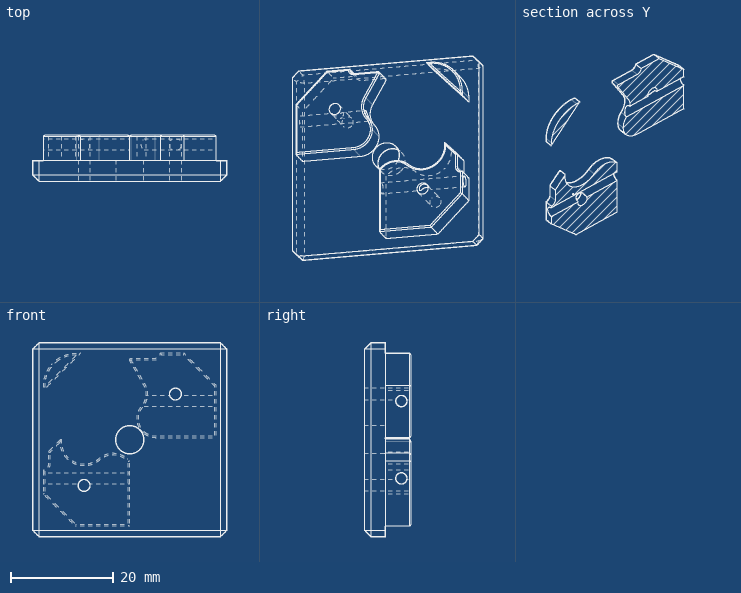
import cadquery as cq
import math

plate_side = 38.1
plate_thickness = 4.1
plate_chamfer = 1.3
total_depth = 9.15

center_hole_diameter = 5.5
screw_hole_diameter = 2.3
screw_offset = 8.95
cross_hole_diameter = 2.17
cross_hole_offset = 7.6
cross_hole_below_top = 1.9

pad_height = total_depth - plate_thickness
bevel = 0.3
bevel_angle = 45.0

pad_reach = 16.95
corner_cut_start = 10.63
seat_radius = 1.0
seat_start = 5.0
seat_end = seat_start + seat_radius
seat_level = pad_reach - seat_radius

block_inner = 9.65
block_radius = 6.48

ramp_start = 2.35
lower_hollow_radius = 4.42
lower_hollow_x = -screw_offset
lower_hollow_z = -0.4
lower_tip_x = lower_hollow_x - lower_hollow_radius
lower_tip_z = seat_level + lower_tip_x - ramp_start
lower_lobe_radius = 4.1
lower_lobe_x = -3.28
lower_side = -0.08

nose_radius = 0.3
undercut_angle = 30.0
nose_left = -0.08
nose_x = nose_left + nose_radius
nose_z = seat_level - nose_radius
upper_hollow_radius = 3.65
upper_hollow_z = screw_offset
upper_lobe_radius = 3.65
upper_lobe_z = 4.15
upper_corner_radius = 3.77
upper_bottom = upper_lobe_z - upper_corner_radius


def polar(center, radius, degrees):
    """Point on a circle, angle measured from +X toward +Z."""
    angle = math.radians(degrees)
    return (center[0] + radius * math.cos(angle), center[1] + radius * math.sin(angle))


def raise_pad(outline):
    """Extrude a closed XZ outline from the plate back and bevel its rim."""
    lower = outline.extrude(bevel - pad_height)
    rim = lower.faces(">Y").wires().toPending().workplane()
    return lower.union(rim.extrude(bevel, taper=bevel_angle, combine=False))


def back_plane():
    return cq.Workplane("XZ", origin=(0, plate_thickness, 0))


def make_plate():
    plate = cq.Workplane("XY").box(plate_side, plate_thickness, plate_side, centered=(True, False, True))
    return plate.edges("|Y or <Y").chamfer(plate_chamfer)


def make_corner_block():
    arc_center = (block_radius - pad_reach, pad_reach - block_radius)
    outline = (
        back_plane()
        .moveTo(-pad_reach, block_inner)
        .lineTo(-pad_reach, arc_center[1])
        .threePointArc(polar(arc_center, block_radius, 135), (arc_center[0], pad_reach))
        .lineTo(-block_inner, pad_reach)
        .close()
    )
    return raise_pad(outline)


def make_lower_pad():
    hollow = (lower_hollow_x, lower_hollow_z)
    reach = lower_hollow_radius + lower_lobe_radius
    join_angle = -math.degrees(math.acos((lower_lobe_x - lower_hollow_x) / reach))
    lobe = polar(hollow, reach, join_angle)
    end_angle = math.degrees(math.acos((lower_side - lobe[0]) / lower_lobe_radius))
    outline = (
        back_plane()
        .moveTo(-corner_cut_start, -pad_reach)
        .lineTo(-pad_reach, -corner_cut_start)
        .lineTo(-pad_reach, -seat_end)
        .threePointArc(polar((-pad_reach, -seat_start), seat_radius, -45), (-seat_level, -seat_start))
        .lineTo(-seat_level, -ramp_start)
        .lineTo(lower_tip_x, lower_tip_z)
        .lineTo(lower_tip_x, lower_hollow_z)
        .threePointArc(
            polar(hollow, lower_hollow_radius, (join_angle - 180) / 2),
            polar(hollow, lower_hollow_radius, join_angle),
        )
        .threePointArc(polar(lobe, lower_lobe_radius, 90), polar(lobe, lower_lobe_radius, end_angle))
        .lineTo(lower_side, -pad_reach)
        .close()
    )
    return raise_pad(outline)


def make_upper_pad():
    nose = (nose_x, nose_z)
    lean = math.radians(undercut_angle)
    hollow_shift = (nose_z - upper_hollow_z) * math.tan(lean)
    hollow_shift -= (nose_radius + upper_hollow_radius) / math.cos(lean)
    hollow = (nose_x + hollow_shift, upper_hollow_z)
    reach = upper_hollow_radius + upper_lobe_radius
    join_angle = -math.degrees(math.asin((upper_hollow_z - upper_lobe_z) / reach))
    lobe = polar(hollow, reach, join_angle)
    lobe_side = (lobe[0] - upper_lobe_radius, upper_lobe_z)
    corner = (lobe_side[0] + upper_corner_radius, upper_lobe_z)
    outline = (
        back_plane()
        .moveTo(corner_cut_start, pad_reach)
        .lineTo(seat_end, pad_reach)
        .threePointArc(polar((seat_start, pad_reach), seat_radius, -45), (seat_start, seat_level))
        .lineTo(nose_x, seat_level)
        .threePointArc(polar(nose, nose_radius, 180), polar(nose, nose_radius, 180 + undercut_angle))
        .lineTo(*polar(hollow, upper_hollow_radius, undercut_angle))
        .threePointArc(
            polar(hollow, upper_hollow_radius, (undercut_angle + join_angle) / 2),
            polar(hollow, upper_hollow_radius, join_angle),
        )
        .threePointArc(polar(lobe, upper_lobe_radius, 165), lobe_side)
        .threePointArc(polar(corner, upper_corner_radius, 225), (corner[0], upper_bottom))
        .lineTo(pad_reach, upper_bottom)
        .lineTo(pad_reach, corner_cut_start)
        .close()
    )
    return raise_pad(outline)


def drill_front(diameter, points):
    return cq.Workplane("XZ").pushPoints(points).circle(diameter / 2).extrude(-total_depth)


def drill_cross_holes():
    start = cq.Workplane("YZ", origin=(-plate_side / 2, total_depth - cross_hole_below_top, 0))
    points = [(0, -cross_hole_offset), (0, cross_hole_offset)]
    return start.pushPoints(points).circle(cross_hole_diameter / 2).extrude(plate_side)


result = make_plate()
for pad in (make_corner_block(), make_lower_pad(), make_upper_pad()):
    result = result.union(pad)
result = result.cut(drill_front(center_hole_diameter, [(0, 0)]))
result = result.cut(
    drill_front(screw_hole_diameter, [(-screw_offset, -screw_offset), (screw_offset, screw_offset)])
)
result = result.cut(drill_cross_holes())